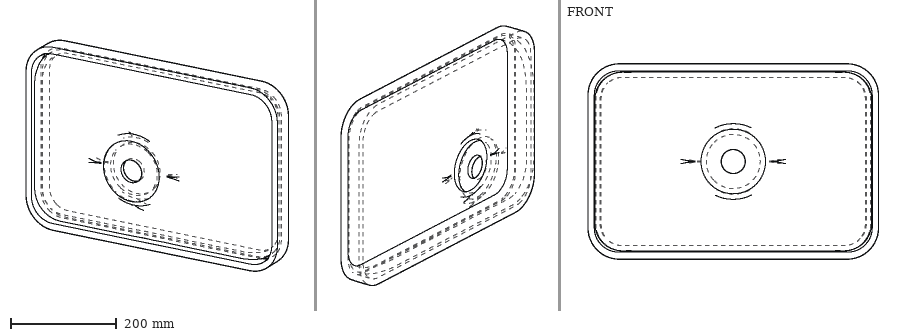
import cadquery as cq

LENGTH = 550.0
HEIGHT = 370.0
DEPTH = 122.0
RIM_FACE = DEPTH / 2

CORNER_RADIUS = 60.0
RIM_DEPTH = 45.5
BAND_DEPTH = 12.5
BAND_TAPER = 2.0
EDGE_RADIUS = 4.0
SKIRT_SIDE = 12.0
SKIRT_LONG = 14.0

WALL = 10.0
BOWL_SECTIONS = [
    (WALL, 259.5, 169.0, 49.5),
    (45.5, 256.0, 163.5, 55.0),
    (71.5, 237.0, 147.0, 63.0),
    (91.0, 212.0, 124.5, 71.5),
    (101.0, 188.0, 109.0, 74.0),
    (106.5, 154.0, 94.5, 74.0),
    (109.5, 113.0, 82.5, 74.0),
    (111.5, 72.0, 71.5, 70.5),
]

BOSS_RADIUS = 61.0
BOSS_ROOT_RADIUS = 71.0
BOSS_ROOT_DEPTH = 111.5
BOSS_FLARE = 2.0
HOLE_RADIUS = 22.5


def plane_at(depth):
    """XZ plane at a depth below the rim face, extruding toward -Y."""
    return cq.Workplane("XZ", origin=(0, RIM_FACE - depth, 0))


def rounded_rectangle(half_length, half_height, radius):
    return cq.Sketch().rect(2 * half_length, 2 * half_height).vertices().fillet(radius)


def rim_prism(inset_x, inset_z, start, end):
    outline = rounded_rectangle(
        LENGTH / 2 - inset_x,
        HEIGHT / 2 - inset_z,
        CORNER_RADIUS - max(inset_x, inset_z),
    )
    return plane_at(start).placeSketch(outline).extrude(end - start)


def rim():
    body = rim_prism(0, 0, BAND_DEPTH, RIM_DEPTH)
    outline = rounded_rectangle(LENGTH / 2, HEIGHT / 2, CORNER_RADIUS)
    band = plane_at(BAND_DEPTH).placeSketch(outline).extrude(-BAND_DEPTH, taper=BAND_TAPER)
    band = band.faces(">Y").edges().fillet(EDGE_RADIUS)
    groove = rim_prism(SKIRT_SIDE, SKIRT_LONG, WALL, RIM_DEPTH)
    return body.union(band).cut(groove)


def bowl(offset):
    """Bowl volume, shrunk by the given wall offset."""
    wires = []
    for depth, half_length, half_height, radius in BOWL_SECTIONS:
        outline = rounded_rectangle(half_length - offset, half_height - offset, radius - offset)
        face = outline.moved(plane_at(depth - offset).plane.location).faces().val()
        wires.append(face.outerWire())
    return cq.Workplane(cq.Solid.makeLoft(wires))


def boss():
    """Turned boss with a concave flank flaring into the bowl."""
    root_y = RIM_FACE - BOSS_ROOT_DEPTH
    end_y = RIM_FACE - DEPTH
    middle = ((BOSS_RADIUS + BOSS_ROOT_RADIUS) / 2 - BOSS_FLARE, (root_y + end_y) / 2 + BOSS_FLARE)
    return (
        cq.Workplane("XY")
        .moveTo(0, end_y)
        .lineTo(BOSS_RADIUS, end_y)
        .threePointArc(middle, (BOSS_ROOT_RADIUS, root_y))
        .lineTo(BOSS_ROOT_RADIUS, root_y + WALL / 2)
        .lineTo(0, root_y + WALL / 2)
        .close()
        .revolve(360, (0, 0, 0), (0, 1, 0))
    )


drain_recess = plane_at(0).circle(BOSS_RADIUS - WALL).extrude(DEPTH - WALL)
drain_hole = plane_at(0).circle(HOLE_RADIUS).extrude(DEPTH)

result = rim().union(bowl(0)).union(boss()).cut(bowl(WALL)).cut(drain_recess).cut(drain_hole)